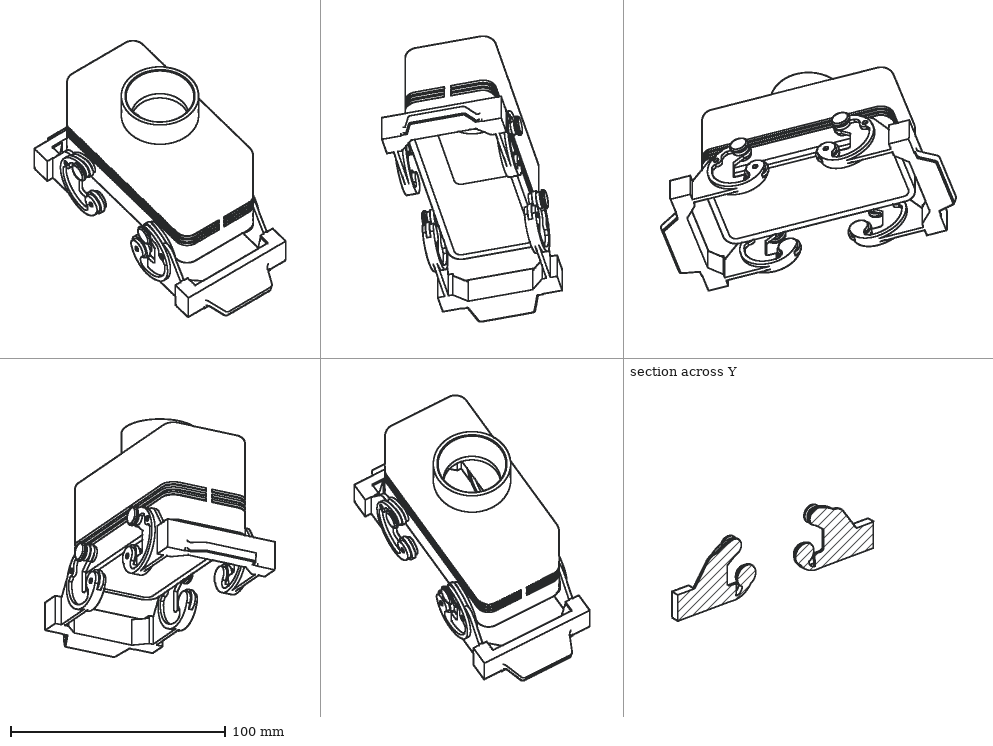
import cadquery as cq
import math

HOOD_LENGTH = 93.9
HOOD_WIDTH = 43.6
HOOD_HEIGHT = 49.8
WALL = 3.0
CORNER_RADIUS = 6.3
TOP_RADIUS = 2.9

GROOVE_HEIGHTS = (13.0, 15.5, 18.0)
GROOVE_OPENING = 1.5
GROOVE_DEPTH = 0.8
GROOVE_GAP = 3.1

COLLAR_RADIUS = 18.0
COLLAR_TOP = 63.5
BORE_RADIUS = 15.9
BORE_CHAMFER = 0.4
BORE_FLOOR_RADIUS = 1.4
ENTRY_RADIUS = 13.4

YOKE_OUTER_X = 58.7
YOKE_INNER_X = 48.7
YOKE_WIDTH = 57.5
YOKE_TOP = -6.4
YOKE_BOTTOM = -20.5
BAR_THICKNESS = 4.2
ARM_WIDTH = 7.3
YOKE_LENGTH = YOKE_OUTER_X - YOKE_INNER_X
YOKE_HEIGHT = YOKE_TOP - YOKE_BOTTOM
BAR_INNER_X = -YOKE_OUTER_X + BAR_THICKNESS
ARM_INNER_Y = YOKE_WIDTH / 2 - ARM_WIDTH
SELECTION_MARGIN = 0.01
GUSSET_WIDTH = 6.0
GUSSET_DROP = 1.2
BAR_BEVEL_HEIGHT = 1.2
BEVEL_START_Y = 19.4
BAR_BEVEL_DEPTH = 0.34

TAB_TIP_X = 68.4
TAB_TIP_TOP = -18.7
TAB_SLOPE = 15
TAB_THICKNESS = 4.2
TAB_LENGTH = 12.3
TAB_TIP_HALF_WIDTH = 13.4
TAB_SIDE_ANGLE = 22.5
TAB_CORNER_RADIUS = 1.8
TAB_ROOT_RADIUS = 1.5
TAB_BOTTOM_CHAMFER = 0.5

HOOK_INNER_Y = HOOD_WIDTH / 2
HOOK_THICKNESS = 5.3
PLATE_THICKNESS = 1.9
PLATE_INNER_Y = HOOK_INNER_Y + (HOOK_THICKNESS - PLATE_THICKNESS) / 2
HOOK_OUTER_Y = HOOK_INNER_Y + HOOK_THICKNESS

RING_X = -24.9
RING_Z = -4.8
RING_RADIUS = 15.9
RING_INNER_RADIUS = 13.7
PEG_Z = 7.3
PEG_BOSS_RADIUS = RING_Z + RING_RADIUS - PEG_Z
PLATE_PEG_RADIUS = 4.5
CURL_X = -17.4
CURL_Z = -10.0
CURL_RADIUS = 4.5
PLATE_CURL_RADIUS = 5.6

TAIL_MIDDLE = (-17.4, -17.9)
TAIL_END = (-13.5, -12.5)
NECK_TOP = (-21.2, -12.3)
NECK_MIDDLE = (-20.1, -15.0)
NECK_BOTTOM_X = -23.3
NECK_BOTTOM = (
    NECK_BOTTOM_X,
    RING_Z - math.sqrt(RING_INNER_RADIUS**2 - (NECK_BOTTOM_X - RING_X) ** 2),
)
RING_INNER_MIDDLE = (
    RING_X - RING_INNER_RADIUS * math.sqrt(0.5),
    RING_Z - RING_INNER_RADIUS * math.sqrt(0.5),
)
PAD_START = (-38.6, -2.6)
PAD_SHOULDER = (-37.0, -0.7)
PAD_NOSE = (-34.8, -0.1)
PAD_NOSE_TOP_Z = 1.4
PAD_RIGHT_X = -33.9
PAD_FILLET_Z = 3.7
PAD_FILLET_MIDDLE = (-33.0, 5.5)
PAD_FILLET_X = -31.2
PAD_TOP_Z = 6.5

PLATE_EMBED = 1.4
SLOPE_BOTTOM_X = -48.5
SLOPE_TOP = (-40.6, 5.0)
SHOULDER_MIDDLE = (-38.0, 7.1)
SHOULDER_END = (-34.9, 7.8)
CREST_MIDDLE = (-30.4, 10.3)
CREST_Z = 11.5
PEG_FLANK = (-24.0, 2.9)
GAP_X = -28.7
GAP_TOP_Z = -0.8
GAP_FLOOR_Z = -11.9
GAP_RADIUS = 1.6
TONGUE_TOP_X = -23.3
TONGUE_BOTTOM_X = -23.7

PEG_RADIUS = 2.9
PEG_HEAD_RADIUS = 4.5
PEG_HEAD_THICKNESS = 1.4
PEG_HEAD_CHAMFER = 0.7
PEG_SPAN = 59.0
PEG_END_Y = PEG_SPAN / 2

RIVETS = ((-36.5, 2.0), (CURL_X, CURL_Z))
RIVET_RADIUS = 1.2
RIVET_HEIGHT = 0.34
RIVET_CHAMFER = 0.3


def rounded_box(length, width, height, corner_radius):
    box = cq.Workplane("XY").box(length, width, height, centered=(True, True, False))
    return box.edges("|Z").fillet(corner_radius)


def groove_cutter(z):
    """V-shaped ring around the hood at height z, missing at the gap on each end."""
    half = GROOVE_OPENING / 2
    ring = rounded_box(HOOD_LENGTH + 2 * half, HOOD_WIDTH + 2 * half, GROOVE_OPENING, CORNER_RADIUS + half)
    ring = ring.translate((0, 0, -half))
    flank = rounded_box(HOOD_LENGTH, HOOD_WIDTH, GROOVE_OPENING, CORNER_RADIUS)
    flank = flank.faces("<Z").edges().chamfer(half, GROOVE_DEPTH)
    gap = cq.Workplane("XY").box(2 * HOOD_LENGTH, GROOVE_GAP, HOOD_HEIGHT)
    ring = ring.cut(flank).cut(flank.mirror("XY")).cut(gap)
    return ring.translate((0, 0, z))


def make_hood():
    hood = rounded_box(HOOD_LENGTH, HOOD_WIDTH, HOOD_HEIGHT, CORNER_RADIUS)
    hood = hood.faces(">Z").edges().fillet(TOP_RADIUS)
    cavity = rounded_box(
        HOOD_LENGTH - 2 * WALL, HOOD_WIDTH - 2 * WALL, HOOD_HEIGHT - WALL, CORNER_RADIUS - WALL
    )
    hood = hood.cut(cavity)
    for z in GROOVE_HEIGHTS:
        hood = hood.cut(groove_cutter(z))
    return hood


def make_collar():
    """Round collar with a bore that stops at the roof in a rounded floor."""
    height = COLLAR_TOP - HOOD_HEIGHT
    roof = cq.Workplane("XY").workplane(offset=HOOD_HEIGHT)
    bore = roof.circle(BORE_RADIUS).extrude(height).faces("<Z").edges().fillet(BORE_FLOOR_RADIUS)
    collar = roof.circle(COLLAR_RADIUS).extrude(height).cut(bore)
    rim_inner_edge = collar.faces(">Z").edges(cq.selectors.RadiusNthSelector(0))
    return rim_inner_edge.chamfer(BORE_CHAMFER)


def make_tab():
    """Trapezoidal plate rising from its tip towards the yoke."""
    angle = math.radians(TAB_SLOPE)
    plane = cq.Plane(
        origin=(-TAB_TIP_X, 0, TAB_TIP_TOP),
        xDir=(math.cos(angle), 0, math.sin(angle)),
        normal=(-math.sin(angle), 0, math.cos(angle)),
    )
    root_half_width = TAB_TIP_HALF_WIDTH + TAB_LENGTH * math.tan(math.radians(TAB_SIDE_ANGLE))
    tab = (
        cq.Workplane(plane)
        .moveTo(0, -TAB_TIP_HALF_WIDTH)
        .lineTo(TAB_LENGTH, -root_half_width)
        .lineTo(TAB_LENGTH, root_half_width)
        .lineTo(0, TAB_TIP_HALF_WIDTH)
        .close()
        .extrude(-TAB_THICKNESS)
    )
    upright_edges = tab.edges(cq.selectors.ParallelDirSelector(plane.zDir))
    tab = upright_edges.edges("<X").fillet(TAB_CORNER_RADIUS)
    bottom = tab.faces(cq.selectors.DirectionMinMaxSelector(plane.zDir, False))
    return bottom.edges().chamfer(TAB_BOTTOM_CHAMFER)


def yoke_level():
    return cq.Workplane("XY").workplane(offset=YOKE_BOTTOM)


def make_frame():
    """Cross bar and two arms, open towards the hood, with the tab blended into the bar."""
    opening = yoke_level().center(BAR_INNER_X + YOKE_LENGTH / 2, 0).rect(YOKE_LENGTH, 2 * ARM_INNER_Y)
    frame = yoke_level().center(-YOKE_OUTER_X + YOKE_LENGTH / 2, 0).rect(YOKE_LENGTH, YOKE_WIDTH)
    frame = frame.extrude(YOKE_HEIGHT).cut(opening.extrude(YOKE_HEIGHT)).union(make_tab())
    root_edges = cq.selectors.BoxSelector(
        (-YOKE_OUTER_X - SELECTION_MARGIN, -ARM_INNER_Y, YOKE_BOTTOM + BAR_BEVEL_HEIGHT),
        (-YOKE_OUTER_X + SELECTION_MARGIN, ARM_INNER_Y, YOKE_TOP - SELECTION_MARGIN),
    )
    return frame.edges(root_edges).fillet(TAB_ROOT_RADIUS)


def make_bevel():
    """Wedge along the lower outer edge of the bar, on both sides of the tab."""
    wedge = (
        cq.Workplane("XZ", origin=(-YOKE_OUTER_X, 0, YOKE_BOTTOM))
        .polyline([(0, 0), (BAR_BEVEL_DEPTH, 0), (0, BAR_BEVEL_HEIGHT)])
        .close()
        .extrude(YOKE_WIDTH / 2, both=True)
    )
    tab_zone = yoke_level().rect(2 * TAB_TIP_X, 2 * BEVEL_START_Y).extrude(YOKE_HEIGHT)
    return wedge.cut(tab_zone)


def make_gusset(side):
    """Triangle in the inner corner of the bar and one arm; side is -1 or 1."""
    return (
        yoke_level()
        .moveTo(BAR_INNER_X, side * ARM_INNER_Y)
        .lineTo(-YOKE_INNER_X, side * ARM_INNER_Y)
        .lineTo(BAR_INNER_X, side * (ARM_INNER_Y - GUSSET_WIDTH))
        .close()
        .extrude(YOKE_HEIGHT - GUSSET_DROP)
    )


def make_yoke():
    yoke = make_frame().cut(make_bevel())
    return yoke.union(make_gusset(-1)).union(make_gusset(1))


def latch_layer(y):
    """Sketch plane at distance y in front of the hood middle, local X and Y along X and Z."""
    return cq.Workplane("XZ", origin=(0, -y, 0))


def disc(x, z, radius, y_start, thickness):
    return latch_layer(y_start).center(x, z).circle(radius).extrude(thickness)


def make_hook():
    """C-shaped ring from the peg boss round to the curled end, with a pad behind the upper rivet."""
    hook = (
        latch_layer(HOOK_INNER_Y)
        .moveTo(RING_X, RING_Z + RING_RADIUS)
        .threePointArc((RING_X - RING_RADIUS, RING_Z), (RING_X, RING_Z - RING_RADIUS))
        .threePointArc(TAIL_MIDDLE, TAIL_END)
        .lineTo(CURL_X, CURL_Z)
        .lineTo(*NECK_TOP)
        .threePointArc(NECK_MIDDLE, NECK_BOTTOM)
        .threePointArc(RING_INNER_MIDDLE, PAD_START)
        .lineTo(*PAD_SHOULDER)
        .threePointArc(PAD_NOSE, (PAD_RIGHT_X, PAD_NOSE_TOP_Z))
        .lineTo(PAD_RIGHT_X, PAD_FILLET_Z)
        .threePointArc(PAD_FILLET_MIDDLE, (PAD_FILLET_X, PAD_TOP_Z))
        .lineTo(RING_X, PAD_TOP_Z)
        .close()
        .extrude(HOOK_THICKNESS)
    )
    hook = hook.union(disc(RING_X, PEG_Z, PEG_BOSS_RADIUS, HOOK_INNER_Y, HOOK_THICKNESS))
    return hook.union(disc(CURL_X, CURL_Z, CURL_RADIUS, HOOK_INNER_Y, HOOK_THICKNESS))


def make_plate():
    """Thin plate from the yoke arm to the peg, its inner edge facing the gap of the hook."""
    plate = (
        latch_layer(PLATE_INNER_Y)
        .moveTo(-YOKE_INNER_X - PLATE_EMBED, YOKE_BOTTOM)
        .lineTo(-YOKE_INNER_X - PLATE_EMBED, YOKE_TOP)
        .lineTo(SLOPE_BOTTOM_X, YOKE_TOP)
        .lineTo(*SLOPE_TOP)
        .threePointArc(SHOULDER_MIDDLE, SHOULDER_END)
        .threePointArc(CREST_MIDDLE, (RING_X, CREST_Z))
        .lineTo(*PEG_FLANK)
        .lineTo(GAP_X, GAP_TOP_Z)
        .lineTo(GAP_X, GAP_FLOOR_Z + GAP_RADIUS)
        .radiusArc((GAP_X + GAP_RADIUS, GAP_FLOOR_Z), -GAP_RADIUS)
        .lineTo(TONGUE_TOP_X, GAP_FLOOR_Z)
        .lineTo(TONGUE_BOTTOM_X, YOKE_BOTTOM)
        .close()
        .extrude(PLATE_THICKNESS)
    )
    plate = plate.union(disc(RING_X, PEG_Z, PLATE_PEG_RADIUS, PLATE_INNER_Y, PLATE_THICKNESS))
    return plate.union(disc(CURL_X, CURL_Z, PLATE_CURL_RADIUS, PLATE_INNER_Y, PLATE_THICKNESS))


def make_latch():
    latch = make_hook().union(make_plate())
    head_y = PEG_END_Y - PEG_HEAD_THICKNESS
    peg = disc(RING_X, PEG_Z, PEG_RADIUS, HOOK_INNER_Y, PEG_END_Y - HOOK_INNER_Y)
    head = disc(RING_X, PEG_Z, PEG_HEAD_RADIUS, head_y, PEG_HEAD_THICKNESS)
    latch = latch.union(peg).union(head.faces("<Y").edges().chamfer(PEG_HEAD_CHAMFER))
    for x, z in RIVETS:
        rivet = disc(x, z, RIVET_RADIUS, HOOK_OUTER_Y, RIVET_HEIGHT)
        latch = latch.union(rivet.faces("<Y").edges().chamfer(RIVET_CHAMFER))
    return latch


front_latch = make_latch()
left_end = make_yoke().union(front_latch).union(front_latch.mirror("XZ"))
entry = cq.Workplane("XY").circle(ENTRY_RADIUS).extrude(COLLAR_TOP)
hood = make_hood().union(make_collar()).cut(entry)
result = hood.union(left_end).union(left_end.mirror("YZ"))